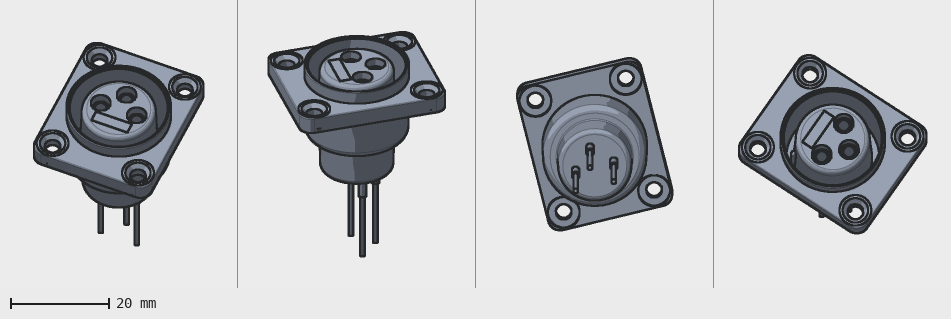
import cadquery as cq
import math

PLATE_X = 26.0
PLATE_Y = 31.0
PLATE_TOP = 3.5
PLATE_CORNER_RADIUS = 2.5
PLATE_EDGE_ROUND = 0.2

SCREW_PITCH_X = 19.0
SCREW_PITCH_Y = 24.0
SCREW_DIA = 3.2
SCREW_CONE_DIA = 5.2
SCREW_CONE_DEPTH = (SCREW_CONE_DIA - SCREW_DIA) / 2
SCREW_RECESS_DIA = 6.5
SCREW_RECESS_DEPTH = 0.05
SCREW_REAR_RECESS_DEPTH = 0.7

RIM_TOP = 6.2
RIM_DIA = 21.4
RIM_ROUND = 0.2
BODY_BOTTOM = -10.0
BODY_END_DIA = 21.15
BODY_ROUND = 1.5
NECK_BOTTOM = -18.5
NECK_DIA = 15.3
NECK_END_DIA = 15.0
NECK_ROUND = 1.0
NECK_ROOT_ROUND = 0.25

SOCKET_DIA = 20.0
SOCKET_END_DIA = 19.0
SOCKET_FLOOR = -8.0
SOCKET_MOUTH_CHAMFER = 0.3

INSERT_DIA = 15.1
INSERT_BASE_DIA = 16.1
INSERT_TOP = 5.5
INSERT_ROUND = 1.05
LABEL_X = 8.0
LABEL_Y = 2.4
LABEL_CENTER_Y = -3.6
LABEL_DEPTH = 0.1

KEY_DIA = 1.2
KEY_CENTER_Z = 0.0
KEY_ORBIT_RADIUS = INSERT_BASE_DIA / 2
KEY_ANGLE = -45.0

CONTACT_ORBIT_RADIUS = 4.0
CONTACT_ANGLES = (0.0, 90.0, 180.0)
CONTACT_WELL_DIA = 4.0
CONTACT_WELL_DEPTH = 3.0
CONTACT_TUBE_DIA = 3.18
CONTACT_TUBE_TOP = INSERT_TOP - 1.6
CONTACT_BORE_DIA = 2.36
CONTACT_BORE_DEPTH = 10.0
DRILL_TIP_ANGLE = 118.0
PIN_SHOULDER_DIA = 1.57
PIN_SHOULDER_LENGTH = 4.75
PIN_DIA = 1.0
PIN_LENGTH = 19.25
PIN_ROOT_DEPTH = 1.0


def polar(radius, angle):
    """XY position at a radius and an angle in degrees from +X."""
    turn = math.radians(angle)
    return (radius * math.cos(turn), radius * math.sin(turn))


def cone(low_dia, high_dia, low_z, high_z):
    """Solid of revolution about Z, straight or tapered between two levels."""
    outline = cq.Workplane("XZ").moveTo(0, low_z)
    if low_dia > 0:
        outline = outline.lineTo(low_dia / 2, low_z)
    outline = outline.lineTo(high_dia / 2, high_z)
    outline = outline.lineTo(0, high_z).close()
    return outline.revolve(360, (0, 0, 0), (0, 1, 0))


def make_plate():
    plate = cq.Workplane("XY").box(PLATE_X, PLATE_Y, PLATE_TOP, centered=(True, True, False))
    plate = plate.edges("|Z").fillet(PLATE_CORNER_RADIUS)
    return plate.faces(">Z").edges().fillet(PLATE_EDGE_ROUND)


def make_screw_hole():
    """Through hole countersunk from above, with a shallow recess at each end."""
    cone_top = PLATE_TOP - SCREW_RECESS_DEPTH
    hole = cone(SCREW_DIA, SCREW_DIA, 0, PLATE_TOP)
    hole = hole.union(cone(SCREW_DIA, SCREW_CONE_DIA, cone_top - SCREW_CONE_DEPTH, cone_top))
    hole = hole.union(cone(SCREW_RECESS_DIA, SCREW_RECESS_DIA, cone_top, PLATE_TOP))
    return hole.union(cone(SCREW_RECESS_DIA, SCREW_RECESS_DIA, 0, SCREW_REAR_RECESS_DEPTH))


def make_shell():
    rim = cone(RIM_DIA, RIM_DIA, 0, RIM_TOP).faces(">Z").edges().fillet(RIM_ROUND)
    body = cone(BODY_END_DIA, RIM_DIA, BODY_BOTTOM, 0)
    body = body.faces("<Z").edges().fillet(BODY_ROUND)
    neck = cone(NECK_END_DIA, NECK_DIA, NECK_BOTTOM, BODY_BOTTOM)
    neck = neck.faces("<Z").edges().fillet(NECK_ROUND)
    shell = rim.union(body).union(neck)
    neck_root = cq.selectors.RadiusNthSelector(0)
    root_level = cq.selectors.BoxSelector(
        (-RIM_DIA, -RIM_DIA, BODY_BOTTOM - NECK_ROOT_ROUND),
        (RIM_DIA, RIM_DIA, BODY_BOTTOM + NECK_ROOT_ROUND),
    )
    return shell.edges(root_level).edges(neck_root).fillet(NECK_ROOT_ROUND)


def make_socket():
    socket = cone(SOCKET_END_DIA, SOCKET_DIA, SOCKET_FLOOR, RIM_TOP)
    mouth_dia = SOCKET_DIA + 2 * SOCKET_MOUTH_CHAMFER
    mouth = cone(SOCKET_DIA, mouth_dia, RIM_TOP - SOCKET_MOUTH_CHAMFER, RIM_TOP)
    return socket.union(mouth)


def make_insert():
    insert = cone(INSERT_BASE_DIA, INSERT_DIA, SOCKET_FLOOR, INSERT_TOP)
    insert = insert.faces(">Z").edges().fillet(INSERT_ROUND)
    key = cone(KEY_DIA, KEY_DIA, SOCKET_FLOOR, KEY_CENTER_Z)
    key = key.union(cq.Workplane("XY").sphere(KEY_DIA / 2).translate((0, 0, KEY_CENTER_Z)))
    insert = insert.union(key.translate(polar(KEY_ORBIT_RADIUS, KEY_ANGLE) + (0,)))
    label = cq.Workplane("XY").box(LABEL_X, LABEL_Y, LABEL_DEPTH, centered=(True, True, False))
    return insert.cut(label.translate((0, LABEL_CENTER_Y, INSERT_TOP - LABEL_DEPTH)))


def make_contact_well():
    """Clearance well around the contact tube, then the bore ending in a drill tip."""
    well_floor = INSERT_TOP - CONTACT_WELL_DEPTH
    bore_floor = INSERT_TOP - CONTACT_BORE_DEPTH
    tip_depth = CONTACT_BORE_DIA / 2 / math.tan(math.radians(DRILL_TIP_ANGLE / 2))
    well = cone(CONTACT_WELL_DIA, CONTACT_WELL_DIA, well_floor, INSERT_TOP)
    well = well.cut(cone(CONTACT_TUBE_DIA, CONTACT_TUBE_DIA, well_floor, CONTACT_TUBE_TOP))
    well = well.union(cone(CONTACT_BORE_DIA, CONTACT_BORE_DIA, bore_floor, INSERT_TOP))
    return well.union(cone(0, CONTACT_BORE_DIA, bore_floor - tip_depth, bore_floor))


def make_pin():
    shoulder_end = NECK_BOTTOM - PIN_SHOULDER_LENGTH
    pin = cone(PIN_SHOULDER_DIA, PIN_SHOULDER_DIA, shoulder_end, NECK_BOTTOM + PIN_ROOT_DEPTH)
    return pin.union(cone(PIN_DIA, PIN_DIA, NECK_BOTTOM - PIN_LENGTH, shoulder_end))


result = make_plate().union(make_shell())
result = result.cut(make_socket())
result = result.union(make_insert())

for side_x in (-1, 1):
    for side_y in (-1, 1):
        screw_place = (side_x * SCREW_PITCH_X / 2, side_y * SCREW_PITCH_Y / 2, 0)
        result = result.cut(make_screw_hole().translate(screw_place))

for contact_angle in CONTACT_ANGLES:
    contact_place = polar(CONTACT_ORBIT_RADIUS, contact_angle) + (0,)
    result = result.cut(make_contact_well().translate(contact_place))
    result = result.union(make_pin().translate(contact_place))